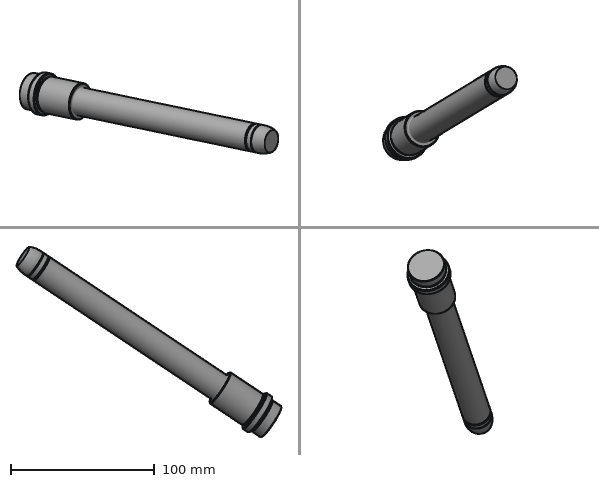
import cadquery as cq

total_length = 210.0
head_length = 7.5
collar_start = 9.0
collar_end = 14.5
sleeve_start = 15.8
sleeve_end = 43.7
grooves = ((194.2, 195.5), (199.3, 200.0))
tip_start = 202.5

collar_radius = 30.0 / 2
sleeve_radius = 26.0 / 2
shaft_radius = 20.0 / 2
tip_radius = 8.0

undercut_depth = 0.6
edge_chamfer = 0.6
head_chamfer = 0.5
groove_depth = 0.1
shoulder_fillet = 0.6


def start_head_and_collar(profile):
    """Draw the head and the collar with a square undercut on each side."""
    undercut_radius = sleeve_radius - undercut_depth
    return (
        profile.lineTo(0, sleeve_radius - head_chamfer)
        .lineTo(head_chamfer, sleeve_radius)
        .lineTo(head_length, sleeve_radius)
        .lineTo(head_length, undercut_radius)
        .lineTo(collar_start, undercut_radius)
        .lineTo(collar_start, collar_radius - edge_chamfer)
        .lineTo(collar_start + edge_chamfer, collar_radius)
        .lineTo(collar_end - edge_chamfer, collar_radius)
        .lineTo(collar_end, collar_radius - edge_chamfer)
        .lineTo(collar_end, undercut_radius)
        .lineTo(sleeve_start, undercut_radius)
        .lineTo(sleeve_start, sleeve_radius)
    )


def add_sleeve(profile):
    """Draw the sleeve, its chamfered end and the filleted shoulder."""
    return (
        profile.lineTo(sleeve_end - edge_chamfer, sleeve_radius)
        .lineTo(sleeve_end, sleeve_radius - edge_chamfer)
        .lineTo(sleeve_end, shaft_radius + shoulder_fillet)
        .radiusArc((sleeve_end + shoulder_fillet, shaft_radius), -shoulder_fillet)
    )


def add_shaft_grooves(profile):
    """Draw the shaft with its shallow square grooves up to the tip."""
    groove_radius = shaft_radius - groove_depth
    for start, end in grooves:
        profile = (
            profile.lineTo(start, shaft_radius)
            .lineTo(start, groove_radius)
            .lineTo(end, groove_radius)
            .lineTo(end, shaft_radius)
        )
    return profile.lineTo(tip_start, shaft_radius)


def add_tip(profile):
    """Draw the rounded tip, an arc that leaves the shaft tangentially, and the end face."""
    return (
        profile.tangentArcPoint((total_length, tip_radius), relative=False)
        .lineTo(total_length, 0)
    )


profile = start_head_and_collar(cq.Workplane("XY"))
profile = add_sleeve(profile)
profile = add_shaft_grooves(profile)
profile = add_tip(profile)
result = profile.close().revolve(360, (0, 0, 0), (1, 0, 0))